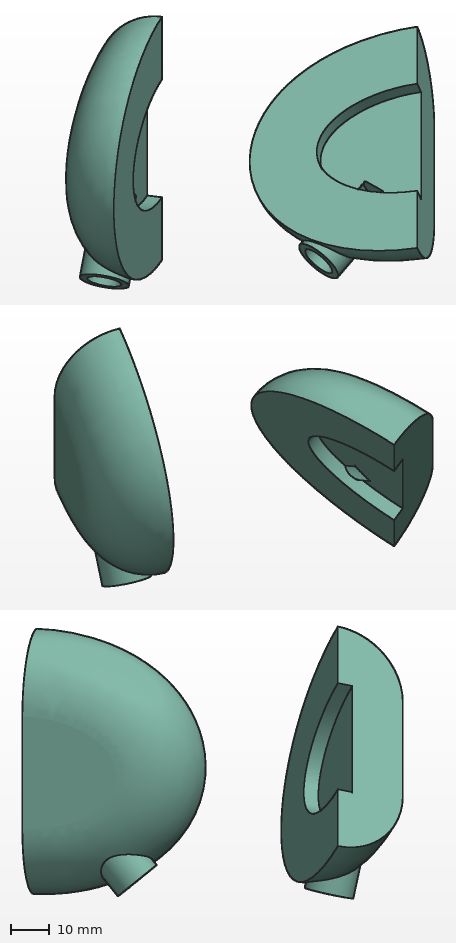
import cadquery as cq
import math

HEIGHT = 69.8
THICKNESS = 17.9
ROUNDING = 19.95
FACE_LENGTH = 25.0
FACE_HALF_HEIGHT = HEIGHT / 2 - ROUNDING
TURN = 50.0

RECESS_MARGIN = 1.95
RECESS_DEPTH = 4.0

NOZZLE_DIAMETER = 13.0
BORE_DIAMETER = 9.0
NOZZLE_TIP = (28.35, -29.25, 7.4)
NOZZLE_ANGLE = 40.0
NOZZLE_LENGTH = 17.45
BORE_DEPTH = 24.4


def half_ellipse(length, half_height):
    """Half of an ellipse, open along the cut end."""
    return cq.Workplane("XY").ellipseArc(length, half_height, -90, 90, startAtCurrent=False)


def half_ellipse_plate(length, half_height, depth):
    return half_ellipse(length, half_height).close().extrude(depth)


def rounded_rim():
    """Quarter ellipse section carried around the edge of the flat face."""
    section = (
        cq.Workplane("YZ", origin=(0, -FACE_HALF_HEIGHT, 0))
        .ellipseArc(ROUNDING, THICKNESS, 90, 180, startAtCurrent=False)
        .lineTo(0, 0)
        .close()
    )
    return section.sweep(half_ellipse(FACE_LENGTH, FACE_HALF_HEIGHT))


def nozzle_rod(diameter, length):
    """Cylinder running inward from the nozzle tip."""
    lean = math.radians(NOZZLE_ANGLE)
    inward = (-math.sin(lean), math.cos(lean), 0)
    plane = cq.Plane(origin=NOZZLE_TIP, xDir=(0, 0, 1), normal=inward)
    return cq.Workplane(plane).circle(diameter / 2).extrude(length)


recess = half_ellipse_plate(
    FACE_LENGTH + RECESS_MARGIN, FACE_HALF_HEIGHT + RECESS_MARGIN, RECESS_DEPTH
)
shell = (
    half_ellipse_plate(FACE_LENGTH, FACE_HALF_HEIGHT, THICKNESS)
    .union(rounded_rim())
    .union(nozzle_rod(NOZZLE_DIAMETER, NOZZLE_LENGTH))
    .cut(nozzle_rod(BORE_DIAMETER, BORE_DEPTH))
    .cut(recess)
)

turn = math.radians(TURN)
upright = cq.Plane(
    origin=(0, 0, 0),
    xDir=(math.cos(turn), -math.sin(turn), 0),
    normal=(-math.sin(turn), -math.cos(turn), 0),
)
result = cq.Workplane("XY").newObject([shell.val().moved(upright.location)])